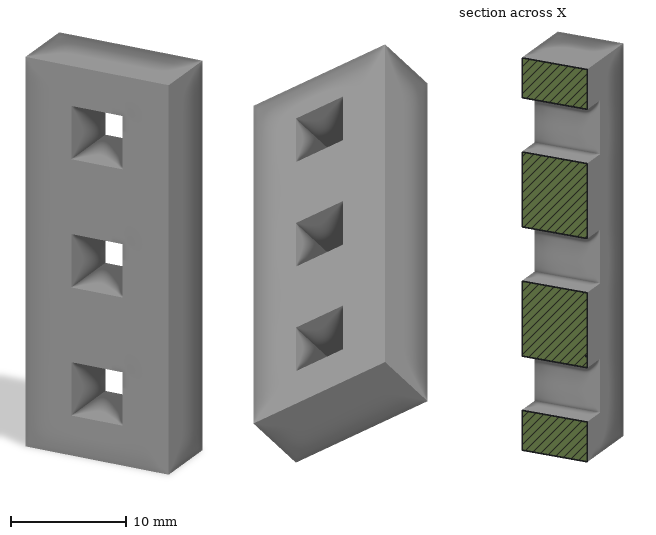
import cadquery as cq

width = 14.0
depth = 6.35
height = 36.5

window_side = 5.0
window_pitch = 12.0
window_count = 3

bar = cq.Workplane("XY").box(width, depth, height)

windows = (
    cq.Workplane("XZ")
    .rarray(window_pitch, window_pitch, 1, window_count)
    .rect(window_side, window_side)
    .extrude(depth, both=True)
)

result = bar.cut(windows)